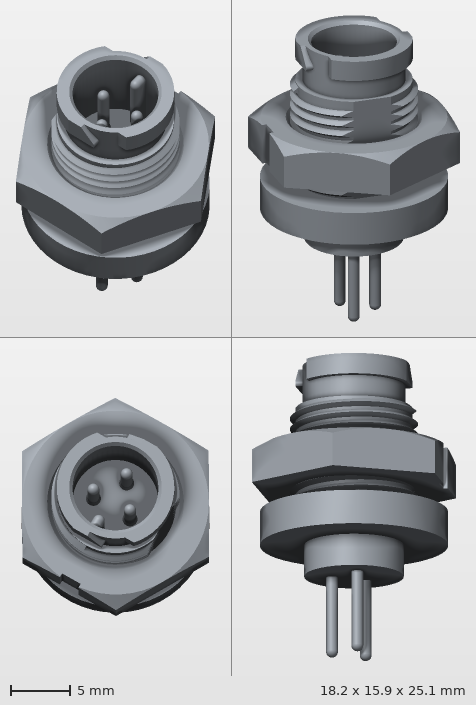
import cadquery as cq
import math


ring_bottom = -1.76
shoulder_top = -3.68
flange_top = -12.6
flange_bottom = -15.5
boss_bottom = -18.2
pin_bottom = -25.12

ring_radius = 4.96
neck_radius = 4.36
shoulder_radius = 4.95
flange_radius = 15.88 / 2
boss_radius = 4.2

socket_radius = 3.62
socket_depth = 7.0
socket_chamfer = 0.28

notch_wall = 3.32
notch_flat = 4.78
nose_top = -1.32
nose_x = 1.32
nose_radius = abs(ring_bottom - nose_top) / math.sqrt(2)

thread_pitch = 0.907
thread_major = 5.41
thread_base = 0.72
thread_root_overlap = 0.05
thread_end_z = -4.095
thread_end_angle = 90
thread_turns = 10
shoulder_flat = 4.66

pin_radius = 0.5
collar_radius = 0.63
collar_height = 0.5
pin_top = -2.15
pin_circle = 1.89
pin_angles = [20, 160, 270]

key_radius = 0.5
key_top = -1.5
key_centre = 2.85

nut_across_corners = 18.18
nut_flat_distance = nut_across_corners / 2 * math.cos(math.radians(30))
nut_top = -7.17
nut_height = 3.53
nut_chamfer_angle = 30
nut_countersink = 0.35
nut_bore_radius = 5.12
nut_notch_width = 1.8
nut_notch_depth = 0.37


def cylinder(radius, bottom, top):
    return cq.Workplane("XY").workplane(offset=bottom).circle(radius).extrude(top - bottom)


def bayonet_notch():
    """Cutter for one ramped notch and the flat beside it, on the -Y side of the ring."""
    reach = 2 * ring_radius
    ramp = (
        cq.Workplane("XZ", origin=(0, -notch_wall, 0))
        .moveTo(0, 0)
        .lineTo(nose_x, nose_top)
        .radiusArc((nose_x, ring_bottom), nose_radius)
        .lineTo(reach, ring_bottom)
        .lineTo(reach, 0)
        .close()
        .extrude(reach)
    )
    flat = (
        cq.Workplane("XY")
        .box(2 * reach, reach, -ring_bottom, centered=(True, False, False))
        .translate((0, -notch_flat - reach, ring_bottom))
    )
    return ramp.union(flat).cut(cylinder(neck_radius, ring_bottom, 0))


def bayonet_ring():
    ring = cylinder(ring_radius, ring_bottom, 0)
    notch = bayonet_notch()
    for angle in (0, 180):
        ring = ring.cut(notch.rotate((0, 0, 0), (0, 0, 1), angle))
    return ring


def threaded_shoulder():
    """Right-hand V thread on the shoulder; its lower end runs into the flange."""
    height = thread_turns * thread_pitch
    root = shoulder_radius - thread_root_overlap
    helix = cq.Wire.makeHelix(thread_pitch, height, root)
    ridge = (
        cq.Workplane("XZ")
        .moveTo(root, -thread_base / 2)
        .lineTo(thread_major, 0)
        .lineTo(root, thread_base / 2)
        .close()
        .sweep(cq.Workplane(helix), isFrenet=True)
        .rotate((0, 0, 0), (0, 0, 1), thread_end_angle)
        .translate((0, 0, thread_end_z - height))
    )
    shoulder = cylinder(shoulder_radius, flange_bottom, shoulder_top).union(ridge)
    flat_cutter = (
        cq.Workplane("XY")
        .box(flange_radius, 2 * flange_radius, abs(flange_top), centered=(True, True, False))
        .translate((-shoulder_flat - flange_radius / 2, 0, flange_top))
    )
    return shoulder.cut(flat_cutter)


def pin(angle):
    """Round-ended contact through the housing, with a short tapered collar on the socket floor."""
    x = pin_circle * math.cos(math.radians(angle))
    y = pin_circle * math.sin(math.radians(angle))
    straight_bottom = pin_bottom + pin_radius
    straight_top = pin_top - pin_radius
    shaft = cylinder(pin_radius, straight_bottom, straight_top)
    for z in (straight_bottom, straight_top):
        shaft = shaft.union(cq.Workplane("XY").sphere(pin_radius).translate((0, 0, z)))
    floor = -socket_depth
    collar = (
        cq.Workplane("XY")
        .workplane(offset=floor)
        .circle(collar_radius)
        .workplane(offset=collar_height)
        .circle(pin_radius)
        .loft()
    )
    return shaft.union(collar).translate((x, y, 0))


def key():
    """Rib from the socket wall with a round front edge and a round top."""
    axis_z = key_top - key_radius
    floor = -socket_depth
    length = (socket_radius + neck_radius) / 2 - key_centre
    post = cylinder(key_radius, floor, axis_z).translate((0, key_centre, 0))
    web = (
        cq.Workplane("XY")
        .box(2 * key_radius, length, axis_z - floor, centered=(True, False, False))
        .translate((0, key_centre, floor))
    )
    top_round = cq.Workplane("XZ", origin=(0, key_centre, axis_z)).circle(key_radius).extrude(-length)
    front_round = cq.Workplane("XY").sphere(key_radius).translate((0, key_centre, axis_z))
    return post.union(web).union(top_round).union(front_round)


def make_housing():
    body = (
        threaded_shoulder()
        .union(cylinder(neck_radius, shoulder_top, ring_bottom))
        .union(bayonet_ring())
        .union(cylinder(flange_radius, flange_bottom, flange_top))
        .union(cylinder(boss_radius, boss_bottom, flange_bottom))
    )
    socket = cylinder(socket_radius, -socket_depth, 0)
    lead_in = (
        cq.Workplane("XY")
        .circle(socket_radius + socket_chamfer)
        .workplane(offset=-socket_chamfer)
        .circle(socket_radius)
        .loft()
    )
    body = body.cut(socket).cut(lead_in).union(key())
    for angle in pin_angles:
        body = body.union(pin(angle))
    return body


def make_nut():
    """Hex nut with a chamfered top, a countersunk bore and a notch in its +Y side."""
    nut_bottom = nut_top - nut_height
    nut = (
        cq.Workplane("XY")
        .workplane(offset=nut_bottom)
        .polygon(6, nut_across_corners)
        .extrude(nut_height)
    )
    corner_radius = nut_across_corners / 2
    corner_drop = (corner_radius - nut_flat_distance) * math.tan(math.radians(nut_chamfer_angle))
    envelope = (
        cq.Workplane("XZ")
        .moveTo(0, nut_bottom)
        .lineTo(corner_radius, nut_bottom)
        .lineTo(corner_radius, nut_top - corner_drop)
        .lineTo(nut_flat_distance, nut_top)
        .lineTo(0, nut_top)
        .close()
        .revolve()
    )
    bore = (
        cq.Workplane("XZ")
        .moveTo(0, nut_bottom)
        .lineTo(nut_bore_radius, nut_bottom)
        .lineTo(nut_bore_radius, nut_top - nut_countersink)
        .lineTo(thread_major, nut_top - nut_countersink)
        .lineTo(thread_major + nut_countersink, nut_top)
        .lineTo(0, nut_top)
        .close()
        .revolve()
    )
    notch = (
        cq.Workplane("XY")
        .box(nut_notch_width, 2 * nut_notch_depth, nut_height, centered=(True, True, False))
        .translate((0, nut_flat_distance, nut_bottom))
    )
    return nut.intersect(envelope).cut(bore).cut(notch)


housing = make_housing()

nut = make_nut().cut(housing)

result = cq.Compound.makeCompound([housing.solids().val(), nut.solids().val()])